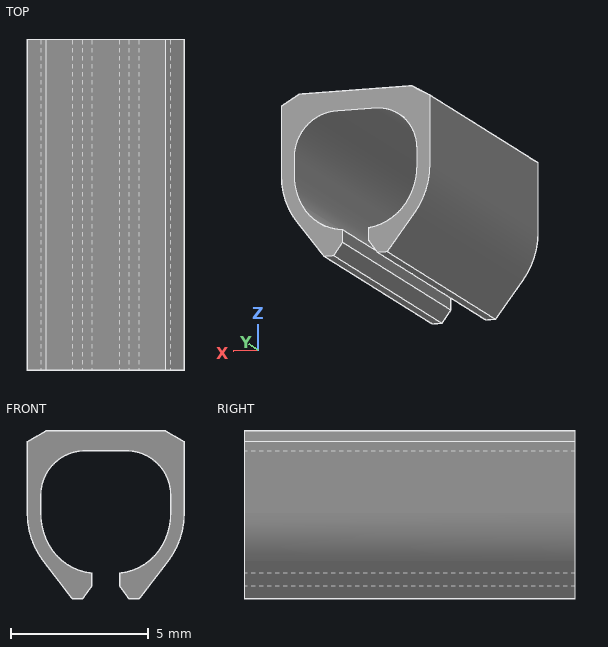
import cadquery as cq
import math

width = 5.7
length = 12.0
height = 6.1

top_chamfer_drop = 0.4
top_chamfer_angle = 30.0
shoulder_height = 3.1
taper_angle = 37.5

wall = 0.5
roof = 0.73
roof_corner_radius = 1.6
blend_angle = 29.0
floor_radius = 2.0

slot_width = 1.0
lip_chamfer_width = 0.34
lip_chamfer_height = 0.47

half_width = width / 2
bore_half_width = half_width - wall
slot_half = slot_width / 2


def outer_body():
    """Solid block with a chamfered top and a rounded, tapering underside."""
    chamfer_width = top_chamfer_drop / math.tan(math.radians(top_chamfer_angle))
    flat_half = half_width - chamfer_width
    chamfer_bottom = height - top_chamfer_drop

    taper = math.radians(taper_angle)
    middle = taper / 2
    arc_mid_x = half_width * math.cos(middle)
    arc_mid_z = shoulder_height - half_width * math.sin(middle)
    arc_end_x = half_width * math.cos(taper)
    arc_end_z = shoulder_height - half_width * math.sin(taper)
    foot_half = arc_end_x - arc_end_z * math.tan(taper)

    return (
        cq.Workplane("XZ")
        .moveTo(-flat_half, height)
        .lineTo(flat_half, height)
        .lineTo(half_width, chamfer_bottom)
        .lineTo(half_width, shoulder_height)
        .threePointArc((arc_mid_x, arc_mid_z), (arc_end_x, arc_end_z))
        .lineTo(foot_half, 0)
        .lineTo(-foot_half, 0)
        .lineTo(-arc_end_x, arc_end_z)
        .threePointArc((-arc_mid_x, arc_mid_z), (-half_width, shoulder_height))
        .lineTo(-half_width, chamfer_bottom)
        .close()
        .extrude(length / 2, both=True)
    )


def bore():
    """Through opening with rounded roof corners and sides that blend into tighter floor arcs."""
    bore_top = height - roof
    roof_flat_half = bore_half_width - roof_corner_radius
    side_top = bore_top - roof_corner_radius
    diagonal = math.radians(45)
    roof_arc_mid_x = roof_flat_half + roof_corner_radius * math.cos(diagonal)
    roof_arc_mid_z = side_top + roof_corner_radius * math.sin(diagonal)

    blend = math.radians(blend_angle)
    side_mid_x = bore_half_width * math.cos(blend / 2)
    side_mid_z = shoulder_height - bore_half_width * math.sin(blend / 2)
    blend_x = bore_half_width * math.cos(blend)
    blend_z = shoulder_height - bore_half_width * math.sin(blend)

    floor_center_x = (bore_half_width - floor_radius) * math.cos(blend)
    floor_center_z = shoulder_height - (bore_half_width - floor_radius) * math.sin(blend)
    floor_end = math.acos((slot_half - floor_center_x) / floor_radius)
    floor_mid = (blend + floor_end) / 2
    floor_mid_x = floor_center_x + floor_radius * math.cos(floor_mid)
    floor_mid_z = floor_center_z - floor_radius * math.sin(floor_mid)
    floor_end_z = floor_center_z - floor_radius * math.sin(floor_end)

    return (
        cq.Workplane("XZ")
        .moveTo(-roof_flat_half, bore_top)
        .lineTo(roof_flat_half, bore_top)
        .threePointArc((roof_arc_mid_x, roof_arc_mid_z), (bore_half_width, side_top))
        .lineTo(bore_half_width, shoulder_height)
        .threePointArc((side_mid_x, side_mid_z), (blend_x, blend_z))
        .threePointArc((floor_mid_x, floor_mid_z), (slot_half, floor_end_z))
        .lineTo(-slot_half, floor_end_z)
        .threePointArc((-floor_mid_x, floor_mid_z), (-blend_x, blend_z))
        .threePointArc((-side_mid_x, side_mid_z), (-bore_half_width, shoulder_height))
        .lineTo(-bore_half_width, side_top)
        .threePointArc((-roof_arc_mid_x, roof_arc_mid_z), (-roof_flat_half, bore_top))
        .close()
        .extrude(length / 2, both=True)
    )


def slot():
    """Opening between the lips, flared at the bottom."""
    mouth_half = slot_half + lip_chamfer_width
    slot_top = shoulder_height
    return (
        cq.Workplane("XZ")
        .moveTo(-mouth_half, 0)
        .lineTo(mouth_half, 0)
        .lineTo(slot_half, lip_chamfer_height)
        .lineTo(slot_half, slot_top)
        .lineTo(-slot_half, slot_top)
        .lineTo(-slot_half, lip_chamfer_height)
        .close()
        .extrude(length / 2, both=True)
    )


result = outer_body().cut(bore()).cut(slot())